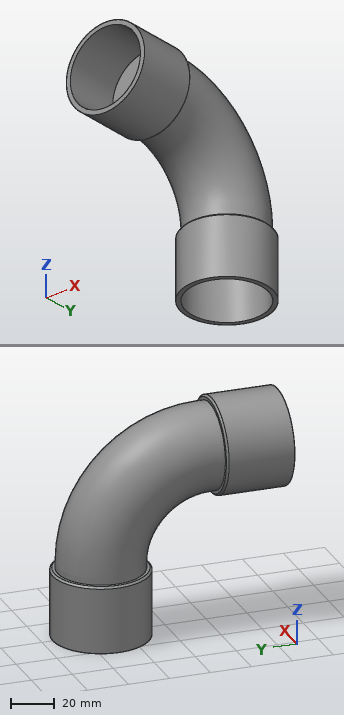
import cadquery as cq

overall = 109.5
socket_diameter = 47.0
pipe_diameter = 42.0
socket_length = 33.1
socket_depth = 30.0
socket_chamfer = 1.0
neck_length = 3.1

leg_length = overall - socket_diameter / 2
bend_radius = leg_length - socket_length - neck_length

lower_axis_y = overall / 2 - socket_diameter / 2
upper_axis_z = lower_axis_y
open_end = -overall / 2

lower_end = cq.Plane(origin=(0, lower_axis_y, open_end), xDir=(1, 0, 0), normal=(0, 0, 1))
upper_end = cq.Plane(origin=(0, open_end, upper_axis_z), xDir=(1, 0, 0), normal=(0, 1, 0))


def socket_body(end_plane):
    """Chamfered socket with its straight pipe neck."""
    socket = cq.Workplane(end_plane).circle(socket_diameter / 2).extrude(socket_length)
    socket = socket.faces(cq.selectors.DirectionMinMaxSelector(end_plane.zDir, True))
    socket = socket.chamfer(socket_chamfer)
    neck = (
        cq.Workplane(end_plane)
        .workplane(offset=socket_length)
        .circle(pipe_diameter / 2)
        .extrude(neck_length)
    )
    return socket.union(neck)


def socket_bore(end_plane):
    """Blind bore that receives a pipe."""
    return cq.Workplane(end_plane).circle(pipe_diameter / 2).extrude(socket_depth)


def pipe_bend():
    """Quarter torus joining the two necks."""
    bend_start = cq.Workplane(lower_end).workplane(offset=socket_length + neck_length)
    return bend_start.circle(pipe_diameter / 2).revolve(
        90, (0, -bend_radius, 0), (1, -bend_radius, 0)
    )


result = pipe_bend()
for end_plane in (lower_end, upper_end):
    result = result.union(socket_body(end_plane))
for end_plane in (lower_end, upper_end):
    result = result.cut(socket_bore(end_plane))